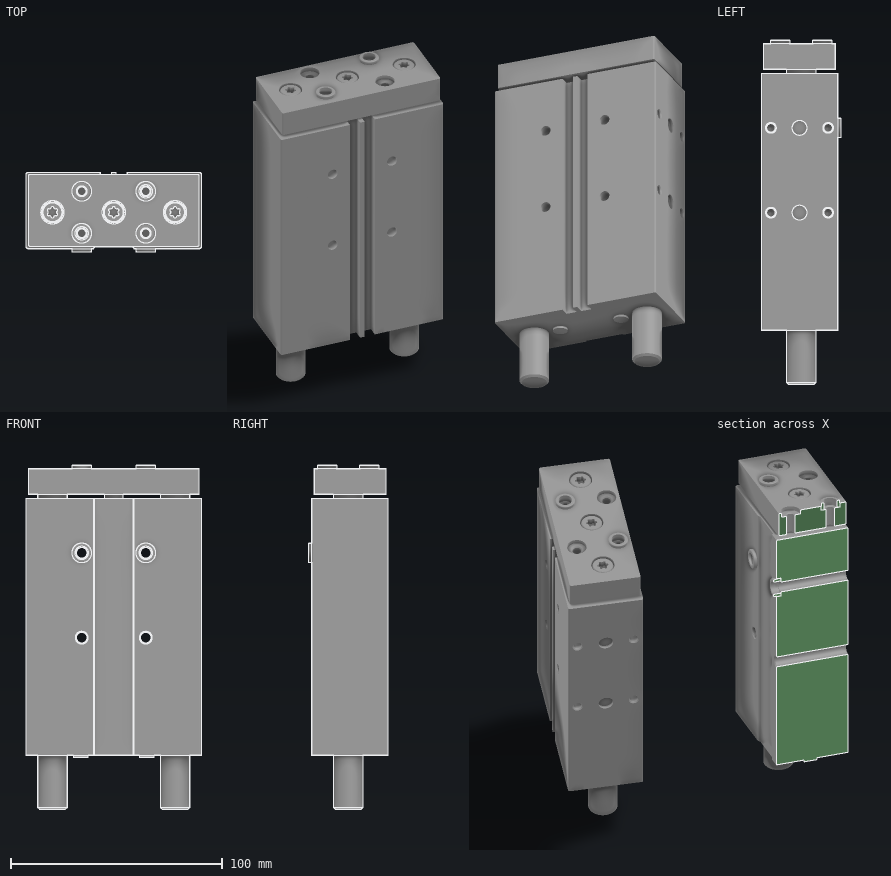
import cadquery as cq
import math

TOTAL_HEIGHT = 162.8

HOUSING_WIDTH = 83.0
HOUSING_DEPTH = 36.1
HOUSING_BACK = 18.9
HOUSING_BOTTOM = 25.5
HOUSING_TOP = 147.0
HOUSING_EDGE_RADIUS = 1.0
FRONT_BAND_WIDTH = 19.2
FRONT_BAND_FLOOR_WIDTH = 18.2
FRONT_BAND_DEPTH = 0.8
BACK_SLOT_WIDTH = 5.2
BACK_SLOT_DEPTH = 4.9
BACK_SLOT_OFFSET = 3.7

UPPER_HOLE_Z = 121.3
HOLE_PITCH_Z = 40.0
SLEEVE_X = 15.1
FRONT_HOLE_DIAMETER = 5.0
FRONT_HOLE_MOUTH = 6.0
SIDE_HOLE_OFFSET = 13.5
THREAD_HOLE_DIAMETER = 4.0
THREAD_HOLE_MOUTH = 5.0
SIDE_HOLE_DEPTH = 9.8
DRILL_TIP_ANGLE = 118.0
PORT_DIAMETER = 7.0
PORT_DEPTH = 1.6

BOSS_DIAMETER = 7.0
BOSS_HEIGHT = 1.0
BOSS_X = 15.6

PLATE_WIDTH = 80.7
PLATE_DEPTH = 34.0
PLATE_BACK = 17.9
PLATE_THICKNESS = 12.2
PLATE_CORNER_RADIUS = 0.8
PLATE_HOLE_Y = 10.0

SLEEVE_DIAMETER = 9.3
SLEEVE_BORE = 6.3
SLEEVE_PROTRUSION = 1.6
SLEEVE_SEAT_DEPTH = 2.1
SLEEVE_EDGE_RADIUS = 0.5

GUIDE_ROD_DIAMETER = 14.0
GUIDE_ROD_X = 29.0
GUIDE_ROD_CHAMFER = 1.0
PISTON_ROD_DIAMETER = 9.0
PISTON_ROD_BOTTOM = 40.7
HEAD_DIAMETER = 10.0
HEAD_SEAT_DIAMETER = 11.0
HEAD_HEIGHT = 6.0
HEAD_CHAMFER = 0.5
HEAD_RECESS = 0.3
SHANK_DIAMETER = 5.2
SCREW_REACH = 9.8
SOCKET_DEPTH = 3.0
SOCKET_CORE_DIAMETER = 4.0
SOCKET_LOBE_DIAMETER = 1.3
SOCKET_LOBES = 6
FIRST_LOBE_ANGLE = 90

HOUSING_FRONT = HOUSING_BACK - HOUSING_DEPTH
HOUSING_MIDDLE_Y = HOUSING_BACK - HOUSING_DEPTH / 2
HOUSING_HEIGHT = HOUSING_TOP - HOUSING_BOTTOM
HOUSING_LEFT = -HOUSING_WIDTH / 2
HOLE_LEVELS = (UPPER_HOLE_Z, UPPER_HOLE_Z - HOLE_PITCH_Z)
PLATE_TOP = TOTAL_HEIGHT - SLEEVE_PROTRUSION
PLATE_BOTTOM = PLATE_TOP - PLATE_THICKNESS
HEAD_TOP = PLATE_TOP - HEAD_RECESS
HEAD_BOTTOM = HEAD_TOP - HEAD_HEIGHT
SLEEVE_LENGTH = SLEEVE_SEAT_DEPTH + SLEEVE_PROTRUSION

GUIDE_ROD_POINTS = [(side * GUIDE_ROD_X, 0) for side in (-1, 1)]
HEAD_POINTS = GUIDE_ROD_POINTS + [(0, 0)]
PLATE_HOLE_POINTS = [(i * SLEEVE_X, j * PLATE_HOLE_Y) for i in (-1, 1) for j in (-1, 1)]
PLATE_SLEEVE_POINTS = [(side * SLEEVE_X, side * PLATE_HOLE_Y) for side in (-1, 1)]


def cylinder(diameter, start, length, direction):
    return cq.Workplane(cq.Solid.makeCylinder(diameter / 2, length, cq.Vector(*start), cq.Vector(*direction)))


def cone(start_diameter, end_diameter, start, length, direction):
    return cq.Workplane(
        cq.Solid.makeCone(
            start_diameter / 2, end_diameter / 2, length, cq.Vector(*start), cq.Vector(*direction)
        )
    )


def chamfer_cone(mouth_diameter, hole_diameter, start, direction):
    """45 degree countersink from the mouth down to the hole."""
    return cone(mouth_diameter, hole_diameter, start, (mouth_diameter - hole_diameter) / 2, direction)


def block(width, depth, height, back, bottom):
    """Box centred on X = 0, with its back face and its bottom at the given places."""
    return cq.Workplane("XY").box(width, depth, height, centered=(True, True, False)).translate(
        (0, back - depth / 2, bottom)
    )


def front_band():
    """Shallow recess with sloped sides along the whole front face."""
    floor = HOUSING_FRONT + FRONT_BAND_DEPTH
    outline = [
        (-FRONT_BAND_WIDTH / 2, HOUSING_FRONT),
        (FRONT_BAND_WIDTH / 2, HOUSING_FRONT),
        (FRONT_BAND_FLOOR_WIDTH / 2, floor),
        (-FRONT_BAND_FLOOR_WIDTH / 2, floor),
    ]
    section = cq.Workplane("XY").workplane(offset=HOUSING_BOTTOM).polyline(outline).close()
    return section.extrude(HOUSING_HEIGHT)


def back_slots():
    slot = block(BACK_SLOT_WIDTH, BACK_SLOT_DEPTH, HOUSING_HEIGHT, HOUSING_BACK, HOUSING_BOTTOM)
    left_slot = slot.translate((-BACK_SLOT_OFFSET, 0, 0))
    return left_slot.union(slot.translate((BACK_SLOT_OFFSET, 0, 0)))


def front_hole(x, z):
    """Hole through the housing depth, countersunk at the front."""
    start = (x, HOUSING_FRONT, z)
    hole = cylinder(FRONT_HOLE_DIAMETER, start, HOUSING_DEPTH, (0, 1, 0))
    return hole.union(chamfer_cone(FRONT_HOLE_MOUTH, FRONT_HOLE_DIAMETER, start, (0, 1, 0)))


def side_hole(y, z):
    """Blind drilled hole in the left side, with a countersink and a conical end."""
    start = (HOUSING_LEFT, y, z)
    tip_length = THREAD_HOLE_DIAMETER / 2 / math.tan(math.radians(DRILL_TIP_ANGLE / 2))
    hole = cylinder(THREAD_HOLE_DIAMETER, start, SIDE_HOLE_DEPTH, (1, 0, 0))
    tip_start = (HOUSING_LEFT + SIDE_HOLE_DEPTH, y, z)
    hole = hole.union(cone(THREAD_HOLE_DIAMETER, 0, tip_start, tip_length, (1, 0, 0)))
    return hole.union(chamfer_cone(THREAD_HOLE_MOUTH, THREAD_HOLE_DIAMETER, start, (1, 0, 0)))


def make_housing():
    body = block(HOUSING_WIDTH, HOUSING_DEPTH, HOUSING_HEIGHT, HOUSING_BACK, HOUSING_BOTTOM)
    body = body.edges("|Z").fillet(HOUSING_EDGE_RADIUS)
    body = body.cut(front_band()).cut(back_slots())

    for side in (-1, 1):
        boss_start = (side * BOSS_X, 0, HOUSING_BOTTOM)
        body = body.union(cylinder(BOSS_DIAMETER, boss_start, BOSS_HEIGHT, (0, 0, -1)))

    for z in HOLE_LEVELS:
        for side in (-1, 1):
            body = body.cut(front_hole(side * SLEEVE_X, z))
            body = body.cut(side_hole(HOUSING_MIDDLE_Y + side * SIDE_HOLE_OFFSET, z))
        port_start = (HOUSING_LEFT, HOUSING_MIDDLE_Y, z)
        body = body.cut(cylinder(PORT_DIAMETER, port_start, PORT_DEPTH, (1, 0, 0)))

    for side in (-1, 1):
        seat_start = (side * SLEEVE_X, HOUSING_FRONT, UPPER_HOLE_Z)
        body = body.cut(cylinder(SLEEVE_DIAMETER, seat_start, SLEEVE_SEAT_DEPTH, (0, 1, 0)))

    for x, y in GUIDE_ROD_POINTS:
        body = body.cut(cylinder(GUIDE_ROD_DIAMETER, (x, y, HOUSING_BOTTOM), HOUSING_HEIGHT, (0, 0, 1)))
    piston_bore_depth = HOUSING_TOP - PISTON_ROD_BOTTOM
    return body.cut(cylinder(PISTON_ROD_DIAMETER, (0, 0, PISTON_ROD_BOTTOM), piston_bore_depth, (0, 0, 1)))


def make_plate():
    plate = block(PLATE_WIDTH, PLATE_DEPTH, PLATE_THICKNESS, PLATE_BACK, PLATE_BOTTOM)
    plate = plate.edges("|Z").fillet(PLATE_CORNER_RADIUS)

    for x, y in PLATE_HOLE_POINTS:
        plate = plate.cut(cylinder(THREAD_HOLE_DIAMETER, (x, y, PLATE_BOTTOM), PLATE_THICKNESS, (0, 0, 1)))
        plate = plate.cut(cylinder(SLEEVE_DIAMETER, (x, y, PLATE_TOP), SLEEVE_SEAT_DEPTH, (0, 0, -1)))
        seat_floor = (x, y, PLATE_TOP - SLEEVE_SEAT_DEPTH)
        plate = plate.cut(chamfer_cone(THREAD_HOLE_MOUTH, THREAD_HOLE_DIAMETER, seat_floor, (0, 0, -1)))

    for x, y in HEAD_POINTS:
        plate = plate.cut(cylinder(SHANK_DIAMETER, (x, y, PLATE_BOTTOM), PLATE_THICKNESS, (0, 0, 1)))
        seat_depth = PLATE_TOP - HEAD_BOTTOM
        plate = plate.cut(cylinder(HEAD_SEAT_DIAMETER, (x, y, PLATE_TOP), seat_depth, (0, 0, -1)))
    return plate


def socket():
    recess = cylinder(SOCKET_CORE_DIAMETER, (0, 0, HEAD_TOP), SOCKET_DEPTH, (0, 0, -1))
    for lobe in range(SOCKET_LOBES):
        angle = math.radians(FIRST_LOBE_ANGLE + lobe * 360 / SOCKET_LOBES)
        radius = SOCKET_CORE_DIAMETER / 2
        centre = (radius * math.cos(angle), radius * math.sin(angle), HEAD_TOP)
        recess = recess.union(cylinder(SOCKET_LOBE_DIAMETER, centre, SOCKET_DEPTH, (0, 0, -1)))
    return recess


def make_screw(shank_bottom):
    """Screw on the Z axis with its head in the plate and its shank down to the given level."""
    head = cylinder(HEAD_DIAMETER, (0, 0, HEAD_BOTTOM), HEAD_HEIGHT, (0, 0, 1))
    head = head.faces(">Z").chamfer(HEAD_CHAMFER)
    shank = cylinder(SHANK_DIAMETER, (0, 0, shank_bottom), HEAD_BOTTOM - shank_bottom, (0, 0, 1))
    return head.union(shank).cut(socket())


def make_guide_rod(x, y):
    """Guide rod that carries its own fixing head through the plate."""
    rod = cylinder(GUIDE_ROD_DIAMETER, (0, 0, 0), PLATE_BOTTOM, (0, 0, 1))
    rod = rod.faces("<Z").chamfer(GUIDE_ROD_CHAMFER)
    return rod.union(make_screw(PLATE_BOTTOM)).translate((x, y, 0))


def make_piston_rod():
    length = PLATE_BOTTOM - PISTON_ROD_BOTTOM
    rod = cylinder(PISTON_ROD_DIAMETER, (0, 0, PISTON_ROD_BOTTOM), length, (0, 0, 1))
    return rod.cut(cylinder(SHANK_DIAMETER, (0, 0, PLATE_BOTTOM), SCREW_REACH, (0, 0, -1)))


def make_sleeve():
    """Sleeve along +Z, with its seated end on Z = 0."""
    sleeve = cylinder(SLEEVE_DIAMETER, (0, 0, 0), SLEEVE_LENGTH, (0, 0, 1))
    sleeve = sleeve.faces(">Z").edges().fillet(SLEEVE_EDGE_RADIUS)
    return sleeve.cut(cylinder(SLEEVE_BORE, (0, 0, 0), SLEEVE_LENGTH, (0, 0, 1)))


def plate_sleeve(x, y):
    return make_sleeve().translate((x, y, PLATE_TOP - SLEEVE_SEAT_DEPTH))


def housing_sleeve(x):
    facing_front = make_sleeve().rotate((0, 0, 0), (1, 0, 0), 90)
    return facing_front.translate((x, HOUSING_FRONT + SLEEVE_SEAT_DEPTH, UPPER_HOLE_Z))


housing = make_housing()
plate = make_plate()
piston_rod = make_piston_rod()
piston_screw = make_screw(PLATE_BOTTOM - SCREW_REACH)
guide_rods = [make_guide_rod(x, y) for x, y in GUIDE_ROD_POINTS]
plate_sleeves = [plate_sleeve(x, y) for x, y in PLATE_SLEEVE_POINTS]
housing_sleeves = [housing_sleeve(side * SLEEVE_X) for side in (-1, 1)]

bodies = [housing, plate, piston_rod, piston_screw] + guide_rods + plate_sleeves + housing_sleeves
result = cq.Compound.makeCompound([body.val() for body in bodies])